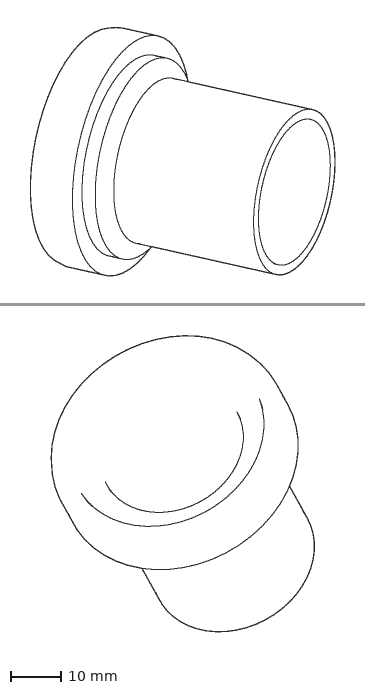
import cadquery as cq
import math

length = 47.0
tube_radius = 33.7 / 2
bore_radius = 29.7 / 2

flange_radius = 48.9 / 2
flange_thickness = 10.0
taper_length = 1.9
taper_drop = 0.5
rim_round = 0.5

hub_radius = 41.0 / 2
hub_end = 13.0
cone_end = 15.2

mouth_radius = 20.65
mouth_round = 0.5
groove_inner_radius = 16.3
groove_depth = 4.5

lip_recess = 3.5
lip_outer_round = 1.0
lip_inner_round = 0.45
inner_wall_slope = math.radians(45)


def revolve_about_x(profile):
    return profile.revolve(360, (0, 0, 0), (1, 0, 0))


def make_body():
    """Solid turned blank: flange, hub, cone and tube."""
    profile = (
        cq.Workplane("XY")
        .lineTo(0, flange_radius - taper_drop)
        .lineTo(taper_length, flange_radius)
        .lineTo(flange_thickness, flange_radius)
        .lineTo(flange_thickness, hub_radius)
        .lineTo(hub_end, hub_radius)
        .lineTo(cone_end, tube_radius)
        .lineTo(length, tube_radius)
        .lineTo(length, 0)
        .close()
    )
    return revolve_about_x(profile).edges("<X").fillet(rim_round)


def make_bore():
    return cq.Workplane("YZ").circle(bore_radius).extrude(length)


def make_groove():
    """Curved annular groove with a rounded mouth, joined to the bore over the lip."""
    groove_outer_radius = mouth_radius - mouth_round
    floor_radius = (groove_outer_radius + groove_inner_radius) / 2

    inner_wall_end = lip_recess + lip_outer_round * (1 - math.cos(inner_wall_slope))
    lip_flat_outer_radius = groove_inner_radius - lip_outer_round * math.sin(inner_wall_slope)

    outer_wall_direction = (1, 0)
    floor_direction = (0, -1)
    inner_wall_direction = (-math.sin(inner_wall_slope), -math.cos(inner_wall_slope))

    profile = (
        cq.Workplane("XY")
        .lineTo(0, mouth_radius)
        .radiusArc((mouth_round, groove_outer_radius), -mouth_round)
        .spline(
            [(groove_depth, floor_radius), (inner_wall_end, groove_inner_radius)],
            tangents=[outer_wall_direction, floor_direction, inner_wall_direction],
            includeCurrent=True,
        )
        .radiusArc((lip_recess, lip_flat_outer_radius), -lip_outer_round)
        .lineTo(lip_recess, bore_radius + lip_inner_round)
        .radiusArc((lip_recess + lip_inner_round, bore_radius), -lip_inner_round)
        .lineTo(lip_recess + lip_inner_round, 0)
        .close()
    )
    return revolve_about_x(profile)


result = make_body().cut(make_bore()).cut(make_groove())